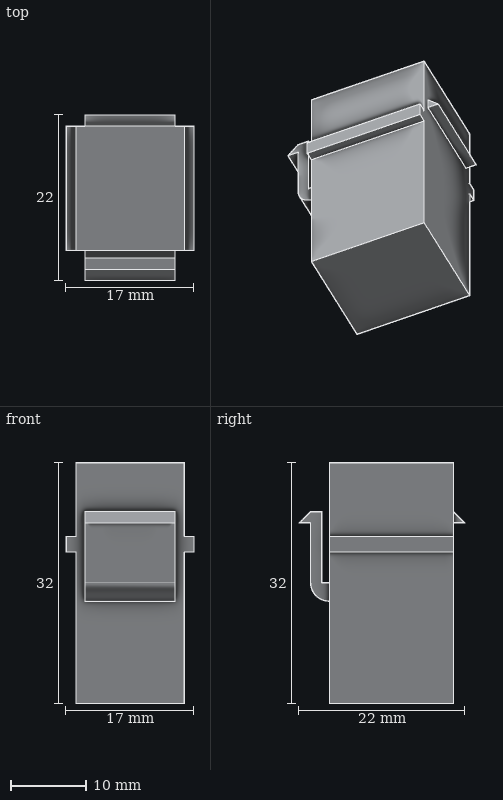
import cadquery as cq

body_width = 14.4
body_depth = 16.5
body_height = 32.0

rail_span = 17.0
rail_bottom = 20.13
rail_height = 2.08

latch_width = 12.0
tooth_size = 1.5
tooth_bottom = 24.0

arm_thickness = 1.5
arm_reach = 2.5
root_bottom = 13.6

front_y = -body_depth / 2
back_y = body_depth / 2
arm_outer_y = front_y - arm_reach
arm_inner_y = arm_outer_y + arm_thickness
arm_top = tooth_bottom + tooth_size
root_top = root_bottom + arm_reach


def centred_block(width, depth, bottom, height):
    """Block centred on X and Y, rising from the given level."""
    return cq.Workplane("XY").workplane(offset=bottom).box(width, depth, height, centered=(True, True, False))


def latch_profile():
    """Start a sketch in the YZ plane at the left edge of the latch."""
    return cq.Workplane("YZ", origin=(-latch_width / 2, 0, 0))


def tooth(wall_y, outward):
    """Catch with a flat underside and a sloping top; outward is +1 or -1 along Y."""
    return (
        latch_profile()
        .moveTo(wall_y, tooth_bottom)
        .lineTo(wall_y + outward * tooth_size, tooth_bottom)
        .lineTo(wall_y, arm_top)
        .close()
        .extrude(latch_width)
    )


def latch_arm():
    """Upright arm joined to the body by a quarter-round root."""
    root_corner = arm_reach * 0.5**0.5
    return (
        latch_profile()
        .moveTo(front_y, root_bottom)
        .threePointArc((front_y - root_corner, root_top - root_corner), (arm_outer_y, root_top))
        .lineTo(arm_outer_y, arm_top)
        .lineTo(arm_inner_y, arm_top)
        .lineTo(arm_inner_y, root_top)
        .lineTo(front_y, root_top)
        .close()
        .extrude(latch_width)
    )


body = centred_block(body_width, body_depth, 0, body_height)
rails = centred_block(rail_span, body_depth, rail_bottom, rail_height)

result = (
    body.union(rails)
    .union(latch_arm())
    .union(tooth(arm_outer_y, -1))
    .union(tooth(back_y, 1))
)